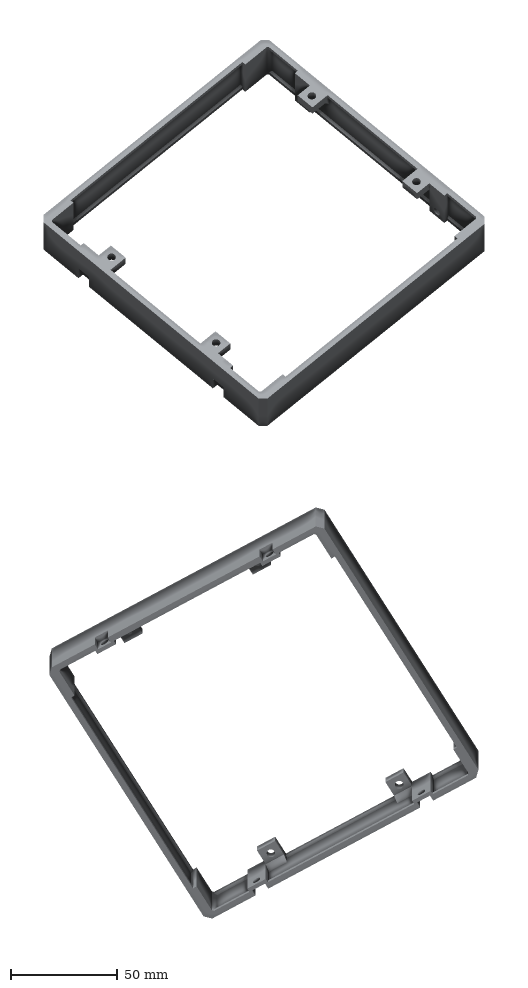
import cadquery as cq

side = 150.0
height = 22.0
outer_chamfer = 3.0
wall = 3.0

corner_wall = 5.0
corner_length = 18.0

recess_depth = 1.0
lip_height = 2.0
recess_corner_chamfer = 1.8

pad_offset = 45.0
pad_width = 10.0
pad_thickness = 5.0
notch_width = 7.0
notch_height = 8.0
notch_depth = 3.0
pad_hole_height = 4.0

tab_width = 9.9
tab_reach = 13.0
tab_thickness = 5.0
tab_hole_inset = 8.5
gusset_size = 3.0

hole_diameter = 4.0

half_side = side / 2
outer_face = -half_side
recess_face = outer_face + wall - recess_depth
recess_span = side - 2 * (wall - recess_depth)
corner_span = side - 2 * corner_wall
middle_length = side - 2 * corner_length
tab_offset = pad_offset - (pad_width + tab_width) / 2


def upright_block(x_size, y_size):
    """Full-height block centred on the frame."""
    return cq.Workplane("XY").box(x_size, y_size, height, centered=(True, True, False))


def block(x_middle, x_size, y_range, z_range):
    """Box centred on x_middle and spanning the given Y and Z ranges."""
    y_start, y_end = y_range
    z_start, z_end = z_range
    box = cq.Workplane("XY").box(x_size, y_end - y_start, z_end - z_start, centered=(True, False, False))
    return box.translate((x_middle, y_start, z_start))


def make_frame():
    """Square ring whose X walls are thicker near the corners."""
    outer = upright_block(side, side).edges("|Z").chamfer(outer_chamfer)
    opening = upright_block(corner_span, side - 2 * wall)
    opening = opening.edges("|Z").chamfer(recess_corner_chamfer - recess_depth)
    middle_opening = upright_block(side - 2 * wall, middle_length)
    return outer.cut(opening).cut(middle_opening)


def recess_slab(x_size, y_size):
    """Slab at mid height that leaves a lip above and below it."""
    slab = cq.Workplane("XY").box(x_size, y_size, height - 2 * lip_height)
    return slab.translate((0, 0, height / 2))


def make_recesses():
    """Two crossing slabs that reach into the inner faces of the four walls."""
    y_walls = recess_slab(corner_span, recess_span).edges("|Z").chamfer(recess_corner_chamfer)
    y_walls = y_walls.faces("<Y or >Y").edges("|X").chamfer(recess_depth)
    x_walls = recess_slab(recess_span, middle_length)
    x_walls = x_walls.faces("<X or >X").edges("|Y").chamfer(recess_depth)
    return y_walls.union(x_walls)


def make_mount():
    """Pad, tab and gusset of one mount."""
    tab_bottom = height - tab_thickness
    pad = block(pad_offset, pad_width, (recess_face, outer_face + pad_thickness), (0, height))
    tab = block(tab_offset, tab_width, (recess_face, outer_face + tab_reach), (tab_bottom, height))
    gusset = (
        cq.Workplane("YZ", origin=(tab_offset - tab_width / 2, recess_face, tab_bottom))
        .polyline([(0, 0), (gusset_size, 0), (0, -gusset_size)])
        .close()
        .extrude(tab_width)
    )
    return pad.union(tab).union(gusset)


def make_mount_cuts():
    """Notch and both screw holes of one mount."""
    notch = block(pad_offset, notch_width, (outer_face, outer_face + notch_depth), (0, notch_height))
    pad_hole = (
        cq.Workplane("XZ", origin=(pad_offset, outer_face, pad_hole_height))
        .circle(hole_diameter / 2)
        .extrude(-pad_thickness)
    )
    tab_hole = (
        cq.Workplane("XY", origin=(tab_offset, outer_face + tab_hole_inset, height))
        .circle(hole_diameter / 2)
        .extrude(-tab_thickness)
    )
    return notch.union(pad_hole).union(tab_hole)


def on_all_mounts(shape):
    """The shape and its mirror images at the four mount places."""
    pair = shape.union(shape.mirror("YZ"))
    return pair.union(pair.mirror("XZ"))


frame = make_frame().cut(make_recesses())
result = frame.union(on_all_mounts(make_mount())).cut(on_all_mounts(make_mount_cuts()))